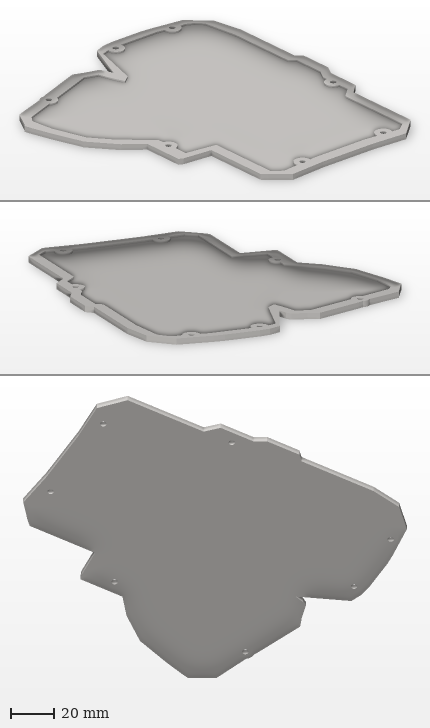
import cadquery as cq

length = 165.0
width = 148.2
thickness = 3.0
pocket_depth = 1.0

rim = 5.6
lower_rim = 6.8

tab_top = width
upper_edge = 145.1
wing_top = 139.2
wing_bottom = 47.7
foot_bottom = 29.9

wing_middle = (wing_top + wing_bottom) / 2
wing_corner_rise = 34.3
wing_flat_rise = 15.0
wing_waist = 163.7
pocket_corner_rise = 35.2
pocket_waist = 157.6

screw_diameter = 3.0
boss_diameter = 8.6
left_screws_x = 6.3
right_screws_x = 157.5
screws = [
    (left_screws_x, 122.5),
    (left_screws_x, 88.1),
    (100.2, upper_edge - rim),
    (right_screws_x, 120.5),
    (right_screws_x, 71.3),
    (103.7, 36.2),
    (29.4, 27.4),
]

outer_outline = [
    (3.0, 131.5),
    (13.0, 142.1),
    (28.2, upper_edge),
    (66.4, upper_edge),
    (69.3, tab_top),
    (86.5, tab_top),
    (92.0, upper_edge),
    (109.3, upper_edge),
    (114.9, wing_top),
    (155.2, wing_top),
    (length, wing_middle + wing_corner_rise),
    (wing_waist, wing_middle + wing_flat_rise),
    (wing_waist, wing_middle - wing_flat_rise),
    (length, wing_middle - wing_corner_rise),
    (157.6, 50.2),
    (155.2, wing_bottom),
    (120.5, wing_bottom),
    (119.0, 32.2),
    (118.0, foot_bottom),
    (95.9, foot_bottom),
    (88.3, 20.3),
    (75.0, 9.4),
    (72.8, 8.7),
    (58.1, 3.8),
    (47.7, 0.8),
    (44.0, 0.0),
    (42.3, 1.3),
    (32.8, 6.5),
    (27.0, 23.5),
    (24.0, 30.7),
    (15.4, 53.8),
    (17.5, 59.3),
    (19.5, 66.4),
    (22.0, 68.0),
    (26.5, 69.3),
    (2.8, 79.5),
    (0.7, 85.3),
    (0.0, 90.8),
    (0.0, 108.5),
    (0.5, 114.0),
]

pocket_outline = [
    (9.0, 133.9),
    (12.5, 137.0),
    (30.9, upper_edge - rim),
    (68.3, upper_edge - rim),
    (70.6, tab_top - rim),
    (87.3, tab_top - rim),
    (92.8, upper_edge - rim),
    (110.3, upper_edge - rim),
    (115.5, wing_top - rim),
    (155.8, wing_top - rim),
    (159.6, wing_middle + pocket_corner_rise),
    (pocket_waist, wing_middle + wing_flat_rise),
    (pocket_waist, wing_middle - wing_flat_rise),
    (159.6, wing_middle - pocket_corner_rise),
    (155.8, wing_bottom + rim),
    (117.5, wing_bottom + rim),
    (115.2, foot_bottom + lower_rim),
    (96.2, foot_bottom + lower_rim),
    (83.0, 22.1),
    (72.3, 13.4),
    (55.0, 7.8),
    (48.0, 6.8),
    (42.3, 6.3),
    (38.6, 8.9),
    (21.3, 56.0),
    (23.5, 62.9),
    (31.5, 65.4),
    (36.8, 67.5),
    (33.5, 71.8),
    (7.3, 79.5),
    (5.6, 84.7),
    (5.1, 92.8),
    (5.1, 114.2),
    (7.1, 126.6),
    (7.1, 129.7),
]


def prism(outline, height):
    """Upright prism of the given height standing on the XY plane."""
    return cq.Workplane("XY").polyline(outline).close().extrude(height)


def discs(diameter):
    """Full-thickness cylinders at all screw positions."""
    return cq.Workplane("XY").pushPoints(screws).circle(diameter / 2).extrude(thickness)


plate = prism(outer_outline, thickness)
pocket = prism(pocket_outline, pocket_depth).translate((0, 0, thickness - pocket_depth))

result = plate.cut(pocket).union(discs(boss_diameter)).cut(discs(screw_diameter))